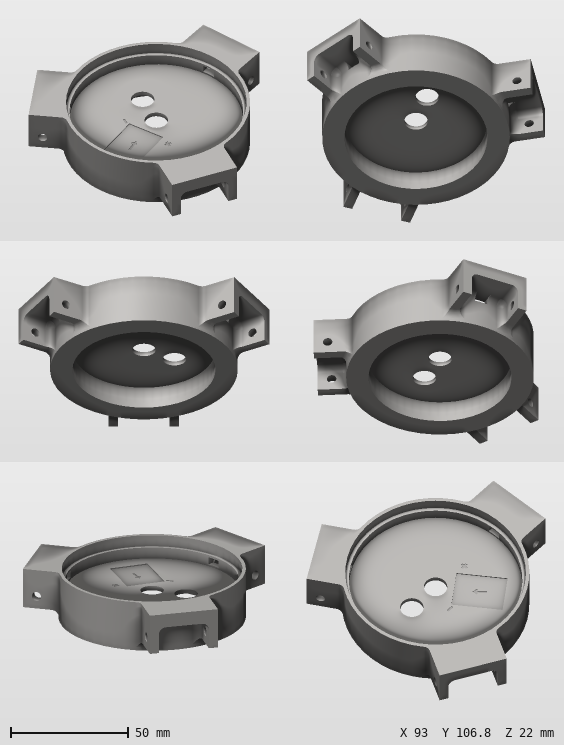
import cadquery as cq
import math

height = 22.0
outer_diameter = 80.0
bore_diameter = 74.0
lid_seat_diameter = 77.01
lid_seat_depth = 5.0
floor_level = 12.0
floor_thickness = 2.0
underside_diameter = 61.0

arm_angles = (0, 120, 240)
arm_reach = 53.0
arm_width = 30.0
arm_bottom = 4.5
arm_roof = 6.0
channel_width = 22.0
blend_radius = 3.0
pin_diameter = 4.0
pin_reach = 47.0
pin_level = 10.0

window_width = 6.0
window_height = 3.2

cable_hole_diameter = 10.0
cable_hole_centers = ((-15.0, 0.0), (0.0, 0.0))

recess_length = 22.0
recess_width = 17.0
recess_depth = 0.5
recess_center = (10.8, -15.5)
recess_turn = 35.0

mark_depth = 0.3
sign_length = 3.0
sign_stroke = 1.0
plus_center = (16.4, -1.5)
minus_center = (-4.5, -12.5)

arrow_tip = (9.0, -13.05)
arrow_turn = 40.0
arrow_length = 6.2
arrow_head_length = 2.1
arrow_head_width = 3.2
arrow_stroke = 1.0

outer_radius = outer_diameter / 2
bore_radius = bore_diameter / 2
channel_top = height - arm_roof
window_sill = channel_top - window_height
recess_level = floor_level - recess_depth
clear_radius = math.hypot(arm_reach, arm_width)
tolerance = 0.001


def disc(diameter, bottom, top):
    """Cylinder about the cup axis."""
    return cq.Workplane("XY").workplane(offset=bottom).circle(diameter / 2).extrude(top - bottom)


def radial_box(inner, outer, width, bottom, top):
    """Box along +X from inner to outer, centred on Y."""
    box = cq.Workplane("XY").box(outer - inner, width, top - bottom, centered=(False, True, False))
    return box.translate((inner, 0, bottom))


def at_angle(shape, angle):
    return shape.rotate((0, 0, 0), (0, 0, 1), angle)


def full_height_arm():
    """Inverted channel along +X, down to the cup's bottom; its inner end is buried in the cup blank."""
    block = radial_box(0, arm_reach, arm_width, 0, height)
    channel = radial_box(0, arm_reach, channel_width, 0, channel_top)
    channel = channel.edges("|X and >Z").fillet(blend_radius)
    return block.cut(channel)


def is_junction(edge):
    """True for an edge on the cup's outside where an arm meets it."""
    points = (edge.startPoint(), edge.positionAt(0.5), edge.endPoint())
    on_cup = all(abs(math.hypot(p.x, p.y) - outer_radius) < tolerance for p in points)
    between_end_faces = tolerance < points[1].z < height - tolerance
    return on_cup and between_end_faces


def space_under_arms():
    """Ring below the arms whose rounded inner corner leaves the blend from arm underside to cup."""
    blend_foot = arm_bottom - blend_radius
    blend_edge = outer_radius + blend_radius
    arc_offset = blend_radius * math.sqrt(0.5)
    return (
        cq.Workplane("XZ")
        .moveTo(outer_radius, 0)
        .lineTo(clear_radius, 0)
        .lineTo(clear_radius, arm_bottom)
        .lineTo(blend_edge, arm_bottom)
        .threePointArc(
            (blend_edge - arc_offset, blend_foot + arc_offset),
            (outer_radius, blend_foot),
        )
        .close()
        .revolve(360, (0, 0), (0, 1))
    )


def outer_body():
    """Solid cup blank with the arms blended into its outside."""
    body = disc(outer_diameter, 0, height)
    for angle in arm_angles:
        body = body.union(at_angle(full_height_arm(), angle))
    junctions = [edge for edge in body.edges().vals() if is_junction(edge)]
    body = body.newObject(junctions).fillet(blend_radius)
    return body.cut(space_under_arms())


def cup_hollows():
    """Bore above the floor, lid seat at the rim and cavity below the floor."""
    bore = disc(bore_diameter, floor_level, height)
    lid_seat = disc(lid_seat_diameter, height - lid_seat_depth, height)
    underside = disc(underside_diameter, 0, floor_level - floor_thickness)
    return bore.union(lid_seat).union(underside)


def arm_openings():
    """Wall window and cross pin hole of the arm along +X."""
    window_inner = math.sqrt(bore_radius**2 - (window_width / 2) ** 2)
    window_outer = outer_radius + blend_radius
    window = radial_box(window_inner, window_outer, window_width, window_sill, channel_top)
    pin_hole = (
        cq.Workplane("XZ")
        .center(pin_reach, pin_level)
        .circle(pin_diameter / 2)
        .extrude(arm_width / 2, both=True)
    )
    return window.union(pin_hole)


def cable_holes():
    return cq.Workplane("XY").pushPoints(cable_hole_centers).circle(cable_hole_diameter / 2).extrude(height)


def recess():
    pocket = cq.Workplane("XY").rect(recess_width, recess_length).extrude(recess_depth)
    return at_angle(pocket, recess_turn).translate((*recess_center, recess_level))


def polarity_signs():
    """Plus and minus signs sunk into the floor."""
    plane = cq.Workplane("XY").workplane(offset=floor_level - mark_depth)
    minus = plane.center(*minus_center).rect(sign_length, sign_stroke).extrude(mark_depth)
    across = plane.center(*plus_center).rect(sign_length, sign_stroke).extrude(mark_depth)
    upright = plane.center(*plus_center).rect(sign_stroke, sign_length).extrude(mark_depth)
    return minus.union(across.union(upright))


def arrow():
    """Arrow sunk into the bottom of the recess."""
    shape = (
        cq.Workplane("XY")
        .moveTo(0, 0)
        .lineTo(arrow_head_width / 2, -arrow_head_length)
        .lineTo(arrow_stroke / 2, -arrow_head_length)
        .lineTo(arrow_stroke / 2, -arrow_length)
        .lineTo(-arrow_stroke / 2, -arrow_length)
        .lineTo(-arrow_stroke / 2, -arrow_head_length)
        .lineTo(-arrow_head_width / 2, -arrow_head_length)
        .close()
        .extrude(mark_depth)
    )
    return at_angle(shape, arrow_turn).translate((*arrow_tip, recess_level - mark_depth))


result = outer_body().cut(cup_hollows())
for arm_angle in arm_angles:
    result = result.cut(at_angle(arm_openings(), arm_angle))
result = result.cut(cable_holes())
result = result.cut(recess()).cut(polarity_signs()).cut(arrow())